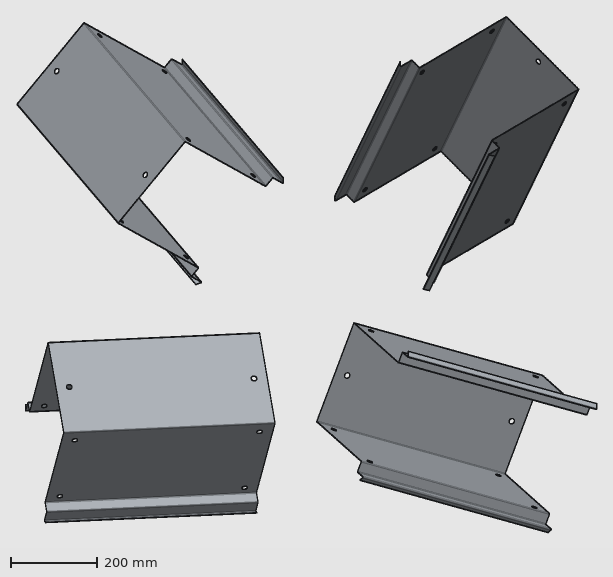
import cadquery as cq
import math

length = 500.0
thickness = 1.5
bend_radius = 0.5
web_width = 250.0
leg_depth = 298.5
jog_width = 26.5
flange_depth = 38.0
lip_length = 14.5
tilt = 45.0

hole_diameter = 13.0
hole_edge_distance = 31.5
leg_hole_first = 36.0
leg_hole_spacing = 240.0
overall_size = 434.0

half_length = length / 2
half_web = web_width / 2
hole_x = half_length - hole_edge_distance


def offset_path(path, distance):
    """Shift an open path to its right-hand side, with mitred corners."""
    directions = []
    for (u0, v0), (u1, v1) in zip(path, path[1:]):
        run = math.hypot(u1 - u0, v1 - v0)
        directions.append(((u1 - u0) / run, (v1 - v0) / run))
    before = directions[:1] + directions
    after = directions + directions[-1:]
    shifted = []
    for (u, v), (au, av), (bu, bv) in zip(path, before, after):
        scale = distance / (1 + au * bu + av * bv)
        shifted.append((u + (av + bv) * scale, v - (au + bu) * scale))
    return shifted


def outer_path():
    """Outside face of the section: u across the web, v from the open end to the web."""
    lip_step = lip_length * math.cos(math.radians(tilt))
    flange_u = half_web + jog_width
    flange_v = -leg_depth - flange_depth
    right_side = [
        (half_web, 0),
        (half_web, -leg_depth),
        (flange_u, -leg_depth),
        (flange_u, flange_v),
        (flange_u + lip_step, flange_v + lip_step),
    ]
    left_side = [(-u, v) for u, v in reversed(right_side)]
    return left_side + right_side


def bend_edges(sheet, points):
    """The lengthwise edges of the sheet that pass through the given section points."""
    edges = [sheet.edges(cq.NearestToPointSelector((0, u, v))).val() for u, v in points]
    return sheet.newObject(edges)


def folded_sheet():
    outside = outer_path()
    inside = offset_path(outside, thickness)
    section = cq.Workplane("YZ").polyline(outside + inside[::-1]).close()
    sheet = section.extrude(half_length, both=True)

    large_corners = []
    small_corners = []
    for i in range(1, len(outside) - 1):
        (u0, v0), (u1, v1), (u2, v2) = outside[i - 1:i + 2]
        turn = (u1 - u0) * (v2 - v1) - (v1 - v0) * (u2 - u1)
        bends_inward = turn < 0
        large_corners.append(outside[i] if bends_inward else inside[i])
        small_corners.append(inside[i] if bends_inward else outside[i])
    sheet = bend_edges(sheet, large_corners).fillet(bend_radius + thickness)
    return bend_edges(sheet, small_corners).fillet(bend_radius)


def web_holes():
    centers = [(-hole_x, 0), (hole_x, 0)]
    drill = cq.Workplane("XY").pushPoints(centers).circle(hole_diameter / 2)
    return drill.extrude(2 * thickness, both=True)


def leg_holes():
    depths = [leg_hole_first, leg_hole_first + leg_hole_spacing]
    centers = [(x, -depth) for x in (-hole_x, hole_x) for depth in depths]
    drill = cq.Workplane("XZ").pushPoints(centers).circle(hole_diameter / 2)
    return drill.extrude(web_width, both=True)


channel = folded_sheet().cut(web_holes()).cut(leg_holes())

tilted = channel.rotate((0, 0, 0), (1, 0, 0), tilt)
web_corner = half_web * math.cos(math.radians(tilt))
corner_rounding = (bend_radius + thickness) * (math.sqrt(2) - 1)
shift = overall_size / 2 - (web_corner - corner_rounding)
result = tilted.translate((0, -shift, shift))